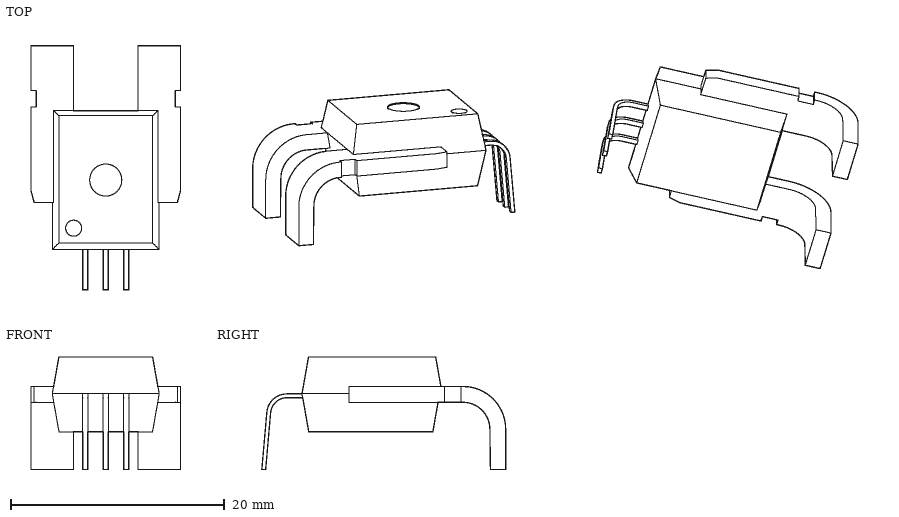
import cadquery as cq
import math


body_length = 13.0
body_width = 10.0
body_height = 7.0
draft = math.tan(math.radians(10))
lead_level = 3.56

disc_diameter = 3.0
disc_depth = 0.1
dimple_radius = 0.75
dimple_x = -3.0
dimple_y = -4.5
dimple_depth = 0.34

bar_thickness = 1.5
bar_top = 4.25
bar_bottom = bar_top - bar_thickness
bar_outer_x = 7.0
bar_inner_x = 3.0
bar_front_y = -2.1
bar_back_y = 12.56
bar_bend_radius = 4.0
bar_tip_thickness = 1.45
taper_length = 1.1
taper_width = 0.3
notch_depth = 0.5
notch_length = 1.5
notch_front_y = 6.85

pin_width = 0.5
pin_thickness = 0.38
pin_pitch = 1.91
pin_bend_radius = 1.9
pin_tilt = math.radians(5)
pin_tip_y = -10.26
pin_root_y = -4.0

lead_tip_z = -3.53

front_y = -body_length / 2
back_y = body_length / 2


def make_body():
    """Drafted block: the side profile limited by the symmetric front profile."""
    upper_height = body_height - lead_level
    top_inset = upper_height * draft
    bottom_inset = lead_level * draft
    half_width = body_width / 2

    side_profile = [
        (front_y + bottom_inset, 0),
        (front_y, lead_level),
        (front_y + top_inset, body_height),
        (back_y - (body_height - bar_top) * draft, body_height),
        (back_y, bar_top),
        (back_y - bar_top * draft, 0),
    ]
    front_profile = [
        (half_width - bottom_inset, 0),
        (half_width, lead_level),
        (half_width - top_inset, body_height),
        (-half_width + top_inset, body_height),
        (-half_width, lead_level),
        (-half_width + bottom_inset, 0),
    ]
    lengthwise = cq.Workplane("YZ").polyline(side_profile).close().extrude(half_width, both=True)
    crosswise = cq.Workplane("XZ").polyline(front_profile).close().extrude(back_y, both=True)
    return lengthwise.intersect(crosswise)


def cut_top_marks(body):
    """Cut a shallow central disc and a spherical pin-one dimple into the top face."""
    disc = (
        cq.Workplane("XY", origin=(0, 0, body_height - disc_depth))
        .circle(disc_diameter / 2)
        .extrude(disc_depth)
    )
    sphere_radius = (dimple_radius**2 + dimple_depth**2) / (2 * dimple_depth)
    sphere_z = body_height - dimple_depth + sphere_radius
    dimple = cq.Workplane("XY").sphere(sphere_radius).translate((dimple_x, dimple_y, sphere_z))
    return body.cut(disc).cut(dimple)


def make_bar():
    """Bar on the +X side: bent strip with an outer notch and a tapered front end."""
    bend_y = bar_back_y - bar_bend_radius
    bend_z = bar_top - bar_bend_radius
    inner_radius = bar_bend_radius - bar_thickness
    diagonal = math.sqrt(0.5)

    strip = (
        cq.Workplane("YZ", origin=(bar_inner_x, 0, 0))
        .moveTo(bar_front_y, bar_top)
        .lineTo(bend_y, bar_top)
        .threePointArc(
            (bend_y + bar_bend_radius * diagonal, bend_z + bar_bend_radius * diagonal),
            (bar_back_y, bend_z),
        )
        .lineTo(bar_back_y, lead_tip_z)
        .lineTo(bar_back_y - bar_tip_thickness, lead_tip_z)
        .lineTo(bend_y + inner_radius, bend_z)
        .threePointArc(
            (bend_y + inner_radius * diagonal, bend_z + inner_radius * diagonal),
            (bend_y, bar_bottom),
        )
        .lineTo(bar_front_y, bar_bottom)
        .close()
        .extrude(bar_outer_x - bar_inner_x)
    )
    notch = (
        cq.Workplane("XY", origin=(0, 0, bar_bottom))
        .moveTo(bar_outer_x - notch_depth, notch_front_y)
        .rect(notch_depth, notch_length, centered=False)
        .extrude(bar_thickness)
    )
    taper = (
        cq.Workplane("XY", origin=(0, 0, bar_bottom))
        .moveTo(bar_outer_x, bar_front_y)
        .lineTo(bar_outer_x, bar_front_y + taper_length)
        .lineTo(bar_outer_x - taper_width, bar_front_y)
        .close()
        .extrude(bar_thickness)
    )
    return strip.cut(notch).cut(taper)


def make_pin():
    """Pin centred on X = 0: straight root, bend, and a leg leaning slightly outward."""
    outer_radius = pin_bend_radius
    inner_radius = pin_bend_radius - pin_thickness
    bend_z = lead_level - outer_radius
    leg_drop = bend_z + outer_radius * math.sin(pin_tilt) - lead_tip_z
    bend_y = pin_tip_y + leg_drop * math.tan(pin_tilt) + outer_radius * math.cos(pin_tilt)
    tip_thickness = pin_thickness / math.cos(pin_tilt)
    middle_angle = (math.pi / 2 + pin_tilt) / 2

    def on_bend(radius, angle):
        return bend_y - radius * math.cos(angle), bend_z + radius * math.sin(angle)

    return (
        cq.Workplane("YZ")
        .moveTo(pin_root_y, lead_level)
        .lineTo(bend_y, lead_level)
        .threePointArc(on_bend(outer_radius, middle_angle), on_bend(outer_radius, pin_tilt))
        .lineTo(pin_tip_y, lead_tip_z)
        .lineTo(pin_tip_y + tip_thickness, lead_tip_z)
        .lineTo(*on_bend(inner_radius, pin_tilt))
        .threePointArc(on_bend(inner_radius, middle_angle), (bend_y, lead_level - pin_thickness))
        .lineTo(pin_root_y, lead_level - pin_thickness)
        .close()
        .extrude(pin_width / 2, both=True)
    )


bar = make_bar()
pin = make_pin()

result = cut_top_marks(make_body()).union(bar).union(bar.mirror("YZ"))
for step in (-1, 0, 1):
    result = result.union(pin.translate((step * pin_pitch, 0, 0)))